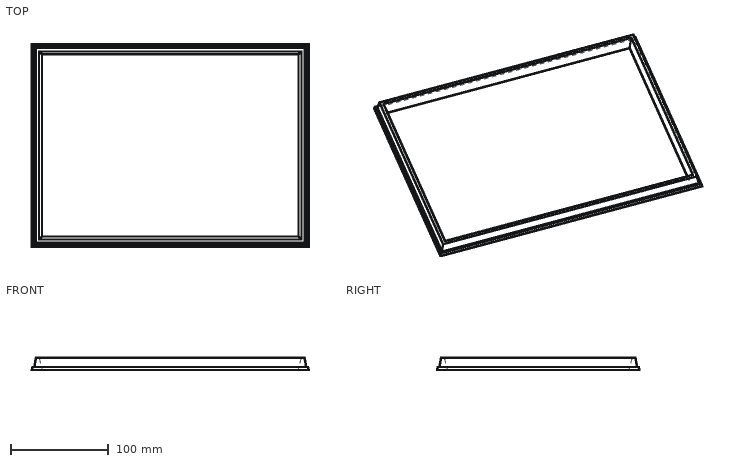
import cadquery as cq

length = 284.0
width = 207.8
height = 12.8

flange_height = 3.5
flange_top_inset = 0.95
wall_foot_inset = 2.65
wall_top_inset = 4.3
opening_top_inset = 7.7
opening_bottom_inset = 11.0
opening_edge_radius = 1.0


def tapered_block(bottom_z, top_z, bottom_inset, top_inset):
    """Rectangular block whose four sides slope evenly between two insets."""
    return (
        cq.Workplane("XY")
        .workplane(offset=bottom_z)
        .rect(length - 2 * bottom_inset, width - 2 * bottom_inset)
        .workplane(offset=top_z - bottom_z)
        .rect(length - 2 * top_inset, width - 2 * top_inset)
        .loft(ruled=True)
    )


flange = tapered_block(0, flange_height, 0, flange_top_inset)

wall = tapered_block(flange_height, height, wall_foot_inset, wall_top_inset)

opening = tapered_block(0, height, opening_bottom_inset, opening_top_inset)

frame = flange.union(wall).cut(opening)

opening_outline = frame.faces("<Z").val().innerWires()[0]
result = frame.newObject(opening_outline.Edges()).fillet(opening_edge_radius)